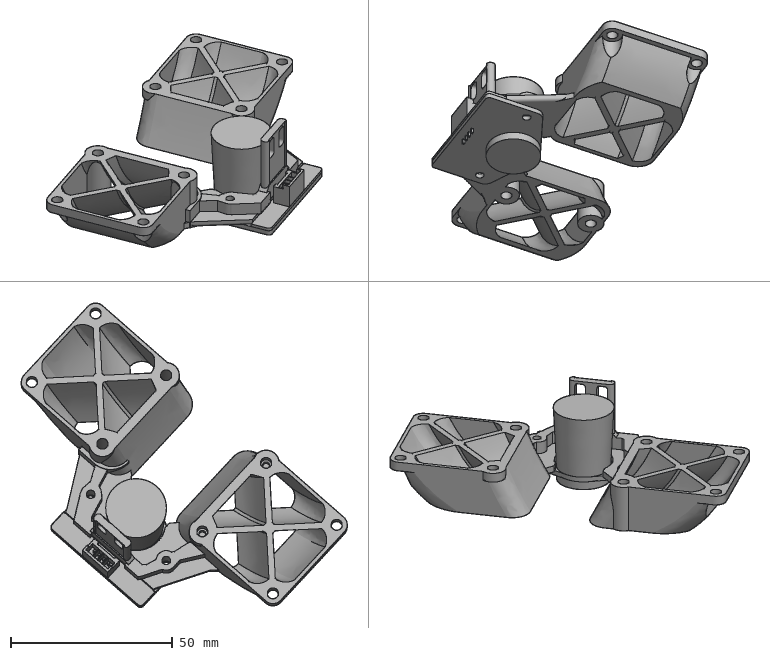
import cadquery as cq
import math


axis_y = 1.5

lens_top_dia = 18.9
base_dia = 17.0
lens_height = 20.1
sink_height = 2.7

board_thickness = 1.6
board_half_width = 19.1
board_right = 19.0
board_taper = math.radians(25)
board_shoulder_radius = 3.2
board_corner_radius = 1.3
strip_left = 12.4
strip_thickness = 1.0
screw_dia = 2.6
screw_x = 3.5
screw_y = 15.8

fan_x = -24.0
fan_y = 35.7
flange_half = 18.0
flange_near = 18.6
flange_top = 15.0
flange_thickness = 3.0
flange_radius = 3.2
fan_hole_dia = 3.4
fan_hole_pitch = 29.5
fan_hole_half = fan_hole_pitch / 2
pilot_dia = 2.1
pilot_depth = 2.1
nut_dia = 6.2
lobe_radius = 4.1
duct_far_top = 17.9
duct_far_drift = 12.0
duct_near_top = 18.6
duct_near_drift = 7.5
cell_drift = 12.8
cell_tip = 1.9
cell_tip_half = 0.5
cell_shoulder_half = 10.7
near_cell_edge = 15.7
near_cell_edge_half = 9.0
near_cell_edge_taper = 1.5
near_cell_shoulder_taper = 2.1
near_cell_drift = 9.0
drift_power = 1.4
near_drift_power = 1.15
near_corner_radius = 5.9
far_corner_length_top = 6.1
far_corner_length_bottom = 10.6
far_corner_width = 4.3

collar_radius = 7.7
collar_x = -12.1
collar_y = -20.1
collar_length = 6.4
collar_height = 6.4

wing_thickness = 2.0
wing_edge_radius = 1.0
wing_bore_dia = 18.3
wing_root_x = 1.1
arm_top = 6.0
arm_boss_dia = 6.2
arm_inner_x = 9.6
arm_outer_x = 13.3
frame_outer_x = 12.5
frame_half = 7.2
frame_top = 24.1
frame_radius = 1.3
foot_size = 0.9
slot_width = 3.4
slot_offset = 3.5
slot_height = 6.4
slot_roof = 1.0
slot_corner_radius = 1.0
relief_depth = 0.4
relief_margin = 1.3

connector_left = 13.4
connector_half = 5.3
connector_low_top = 7.0
connector_high_top = 8.5
connector_step_x = 16.8
cavity_left = 15.0
cavity_right = 18.2
cavity_half = 4.6
cavity_floor = 2.6
divider_width = 0.3
key_depth = 0.6
key_half = 3.5
pin_count = 4
pin_pitch = 1.9
pin_size = 0.6
pin_x = 16.0
pin_top = 5.4
pin_bottom = -3.1

flange_bottom = flange_top - flange_thickness
SIDES = (1, -1)


def block(x0, x1, y0, y1, z0, z1):
    """Box between two opposite corners."""
    return cq.Workplane("XY").box(x1 - x0, y1 - y0, z1 - z0, centered=False).translate((x0, y0, z0))


def post(x, y, dia, z0, z1):
    """Vertical cylinder."""
    return cq.Workplane("XY", origin=(x, y, z0)).circle(dia / 2).extrude(z1 - z0)


def prism(points, z0, z1):
    """Vertical prism over a closed polygon."""
    return cq.Workplane("XY", origin=(0, 0, z0)).polyline(points).close().extrude(z1 - z0)


def bend(z, power=drift_power):
    """Share of the full drift reached at height z: 0 at the flange top, 1 at the outlet."""
    return (1 - z / flange_top) ** power


def loft_through(section):
    """Smooth solid through the wires that section(z) gives from flange top to outlet."""
    heights = (flange_top, flange_top / 2, 0)
    return cq.Workplane(cq.Solid.makeLoft([section(z) for z in heights]))


def shell_section(z):
    far = duct_far_top - duct_far_drift * bend(z)
    near = -duct_near_top - duct_near_drift * bend(z, near_drift_power)
    rn = near_corner_radius
    fw = far_corner_width
    fl = far_corner_length_top + (far_corner_length_bottom - far_corner_length_top) * bend(z)
    w = flange_half
    far_radius = (fw**2 + fl**2) / (2 * fw)
    half_sweep = math.asin(fl / far_radius) / 2
    mid_x = w - far_radius * (1 - math.cos(half_sweep))
    mid_y = far - fl + far_radius * math.sin(half_sweep)
    cut = 1 - math.sqrt(0.5)
    outline = (
        cq.Workplane("XY", origin=(0, 0, z))
        .moveTo(-w + rn, near)
        .lineTo(w - rn, near)
        .threePointArc((w - rn * cut, near + rn * cut), (w, near + rn))
        .lineTo(w, far - fl)
        .threePointArc((mid_x, mid_y), (w - fw, far))
        .lineTo(-w + fw, far)
        .threePointArc((-mid_x, mid_y), (-w, far - fl))
        .lineTo(-w, near + rn)
        .threePointArc((-w + rn * cut, near + rn * cut), (-w + rn, near))
        .close()
    )
    return outline.val()


def fan_cell(turn):
    """One air cell with rounded outer corners, turned about the fan axis by a right angle."""
    shoulder = cell_tip + cell_shoulder_half - cell_tip_half
    edge, edge_half = 16.9, 7.1
    bulge, bulge_half = 14.9, 9.8
    angle = math.radians(turn)

    def section(z):
        def at(u, v):
            x = u * math.cos(angle) - v * math.sin(angle)
            y = u * math.sin(angle) + v * math.cos(angle)
            return (x, y - cell_drift * bend(z))

        outline = (
            cq.Workplane("XY", origin=(0, 0, z))
            .moveTo(*at(-cell_tip_half, cell_tip))
            .lineTo(*at(cell_tip_half, cell_tip))
            .lineTo(*at(cell_shoulder_half, shoulder))
            .threePointArc(at(bulge_half, bulge), at(edge_half, edge))
            .lineTo(*at(-edge_half, edge))
            .threePointArc(at(-bulge_half, bulge), at(-cell_shoulder_half, shoulder))
            .close()
        )
        return outline.val()

    return loft_through(section)


def near_cell():
    """The air cell next to the lens, which narrows towards the outlet."""
    def section(z):
        tip = -cell_tip - cell_drift * bend(z)
        edge = -near_cell_edge - near_cell_drift * bend(z)
        edge_half = near_cell_edge_half - near_cell_edge_taper * bend(z)
        shoulder_half = cell_shoulder_half - near_cell_shoulder_taper * bend(z)
        shoulder = tip - shoulder_half + cell_tip_half
        points = [(-cell_tip_half, tip), (cell_tip_half, tip), (shoulder_half, shoulder),
                  (edge_half, edge), (-edge_half, edge), (-shoulder_half, shoulder)]
        return cq.Workplane("XY", origin=(0, 0, z)).polyline(points).close().val()

    return loft_through(section)


def flange():
    plate = block(-flange_half, flange_half, -flange_near, flange_half, flange_bottom, flange_top)
    plate = plate.edges("|Z").fillet(flange_radius)
    for side in SIDES:
        plate = plate.union(
            post(side * fan_hole_half, -fan_hole_half, 2 * lobe_radius, flange_bottom, flange_top)
        )
    return plate


def duct_shell():
    """Solid duct with its flange and the nut clearances under the outer holes."""
    shell = loft_through(shell_section)
    for side in SIDES:
        shell = shell.cut(post(side * fan_hole_half, fan_hole_half, nut_dia, 0, flange_bottom))
    return shell.union(flange())


def duct_cells():
    return [near_cell()] + [fan_cell(turn) for turn in (-90, 0, 90)]


def place(body, side):
    """Put a fan-centred body on the +Y side (1) or mirror it to the -Y side (-1)."""
    moved = body.translate((fan_x, fan_y, 0))
    return moved if side > 0 else moved.mirror("XZ")


def collar():
    right = collar_x + collar_radius
    front = collar_y - collar_length
    round_part = post(collar_x, collar_y, 2 * collar_radius, 0, collar_height)
    body = round_part.union(block(collar_x, right, front, collar_y, 0, collar_height))
    back = collar_y + collar_radius
    return body.intersect(block(collar_x, right, front, back, 0, collar_height))


def wing_plate():
    half = [(strip_left, 18.3), (10.7, board_half_width), (-4.1, 27.4), (-6.1, 29.5), (-11.5, 23.6),
            (-11.5, 12.5), (-6.7, 7.8), (0, 7.8)]
    points = half + [(x, -y) for x, y in reversed(half)]
    plate = prism(points, 0, wing_thickness)
    exposed = cq.selectors.BoxSelector((wing_root_x, -32.2, -1.1), (strip_left + 1.1, 32.2, wing_edge_radius))
    plate = plate.faces("<Z").edges(exposed).fillet(wing_edge_radius)
    return plate


def arm(side):
    """Arm from a duct to the frame, with a boss around the board screw; the two differ a little."""
    if side > 0:
        outer = [(-7.5, 24.5), (0.5, 18.9), (screw_x, 18.9), (6.9, 16.5), (12.4, 13.5), (arm_outer_x, 12.8)]
        inner = [(arm_inner_x, 11.2), (8.7, 12.1), (5.8, 13.1), (screw_x, 13.1), (-0.3, 15.8), (-7.5, 17.7)]
    else:
        outer = [(-7.5, 22.7), (0.5, 18.6), (screw_x, 18.9), (5.4, 18.5), (arm_outer_x, 14.1)]
        inner = [(arm_inner_x, 9.9), (8.9, 10.6), (5.8, 11.5), (1.9, 12.5), (0.6, 14.0), (-0.3, 15.8),
                 (-7.5, 17.6)]
    middle = [(arm_outer_x, frame_half), (arm_inner_x, frame_half)]
    body = prism([(x, side * y) for x, y in outer + middle + inner], wing_thickness, arm_top)
    return body.union(post(screw_x, side * screw_y, arm_boss_dia, wing_thickness, arm_top))


def frame():
    """Upright slotted frame joining the two arms behind the lens."""
    slab = block(arm_inner_x, frame_outer_x, -frame_half, frame_half, wing_thickness, frame_top)
    slab = slab.edges("|Z").fillet(frame_radius)
    slot_z1 = frame_top - slot_roof
    for side in SIDES:
        middle = side * slot_offset
        slot = block(0, arm_outer_x, middle - slot_width / 2, middle + slot_width / 2,
                     slot_z1 - slot_height, slot_z1)
        slab = slab.cut(slot.edges("|X").fillet(slot_corner_radius))
    relief_half = frame_half - relief_margin
    slab = slab.cut(block(frame_outer_x - relief_depth, arm_outer_x, -relief_half, relief_half,
                          arm_top, frame_top))
    bar = block(arm_inner_x, frame_outer_x, -frame_half, frame_half, wing_thickness, arm_top)
    feet = (
        cq.Workplane("YZ", origin=(arm_inner_x, 0, 0))
        .polyline([(-frame_half - foot_size, arm_top), (frame_half + foot_size, arm_top),
                   (frame_half - foot_size, arm_top + 2 * foot_size),
                   (-frame_half + foot_size, arm_top + 2 * foot_size)])
        .close().extrude(frame_outer_x - arm_inner_x)
    )
    return slab.union(bar).union(feet)


def carrier():
    body = wing_plate().union(frame())
    for side in SIDES:
        body = body.union(arm(side))
    body = body.cut(post(0, 0, wing_bore_dia, 0, wing_thickness))
    for side in SIDES:
        body = body.cut(post(screw_x, side * screw_y, screw_dia, 0, arm_top))
    body = body.translate((0, axis_y, 0)).union(collar())
    for side in SIDES:
        body = body.union(place(duct_shell(), side))
        for cell in duct_cells():
            body = body.cut(place(cell, side))
    return drill_fan_holes(body)


def drill_fan_holes(body):
    """Fan screw holes: all pass through, except the inner pair of the +Y duct."""
    for end in SIDES:
        hole_x = fan_x + end * fan_hole_half
        outer_y = fan_y + fan_hole_half
        inner_y = fan_y - fan_hole_half
        body = body.union(post(hole_x, -inner_y, 2 * lobe_radius, 0, flange_top))
        body = body.cut(post(hole_x, outer_y, fan_hole_dia, 0, flange_top))
        body = body.cut(post(hole_x, -outer_y, fan_hole_dia, 0, flange_top))
        body = body.cut(post(hole_x, -inner_y, fan_hole_dia, 0, flange_top))
        body = body.cut(post(hole_x, inner_y, fan_hole_dia, flange_bottom, flange_top))
        body = body.cut(post(hole_x, inner_y, pilot_dia, flange_bottom - pilot_depth, flange_top))
    return body


def lens():
    cone = cq.Solid.makeCone(base_dia / 2, lens_top_dia / 2, lens_height)
    return cq.Workplane(cone).translate((0, axis_y, 0))


def heat_sink():
    return post(0, axis_y, base_dia, -board_thickness - sink_height, -board_thickness)


def pins():
    row = cq.Workplane("XY", origin=(pin_x, 0, pin_bottom)).rarray(1.1, pin_pitch, 1, pin_count)
    return row.rect(pin_size, pin_size).extrude(pin_top - pin_bottom)


def board():
    """Teardrop plate: tapered sides run tangent to the round end under the lens."""
    radius = base_dia / 2
    tangent_x = -radius * math.cos(board_taper)
    tangent_y = radius * math.sin(board_taper)
    shoulder_x = tangent_x + (board_half_width - tangent_y) * math.tan(board_taper)
    plate = (
        cq.Workplane("XY", origin=(0, 0, -board_thickness))
        .moveTo(board_right, -board_half_width)
        .lineTo(board_right, board_half_width)
        .lineTo(shoulder_x, board_half_width)
        .lineTo(tangent_x, tangent_y)
        .threePointArc((-radius, 0), (tangent_x, -tangent_y))
        .lineTo(shoulder_x, -board_half_width)
        .close().extrude(board_thickness)
    )
    plate = plate.edges("|Z and >X").fillet(board_corner_radius)
    shoulders = cq.selectors.BoxSelector((shoulder_x - 1.1, -21.5, -2.1), (shoulder_x + 1.1, 21.5, 1.1))
    plate = plate.edges("|Z").edges(shoulders).fillet(board_shoulder_radius)
    for side in SIDES:
        plate = plate.cut(post(screw_x, side * screw_y, screw_dia, -board_thickness, 0))
    return plate.cut(pins()).translate((0, axis_y, 0))


def strip():
    plate = block(strip_left, board_right, -board_half_width, board_half_width, 0, strip_thickness)
    plate = plate.edges("|Z and >X").fillet(board_corner_radius)
    return plate.cut(pins()).translate((0, axis_y, 0))


def connector():
    """Open socket with a raised back wall and four square pins that pass through the board."""
    half = connector_half
    body = block(connector_left, board_right, -half, half, strip_thickness, connector_low_top)
    body = body.union(
        block(connector_step_x, board_right, -half, half, strip_thickness, connector_high_top)
    )
    body = body.cut(
        block(cavity_left, cavity_right, -cavity_half, cavity_half, cavity_floor, connector_high_top)
    )
    body = body.cut(
        block(connector_left, connector_left + key_depth, -key_half, key_half,
              strip_thickness, connector_low_top)
    )
    for gap in range(1, pin_count):
        y = (gap - pin_count / 2) * pin_pitch
        body = body.union(block(cavity_left, cavity_right, y - divider_width / 2, y + divider_width / 2,
                                cavity_floor, connector_low_top))
    return body.union(pins()).translate((0, axis_y, 0))


result = cq.Compound.makeCompound([
    carrier().val(),
    lens().val(),
    heat_sink().val(),
    board().val(),
    strip().val(),
    connector().val(),
])